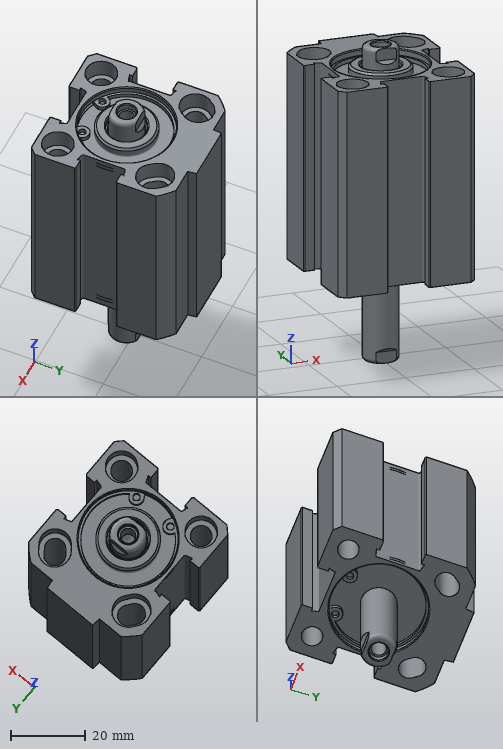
import cadquery as cq
import math

housing_length = 58.5
half_width = 20.0
back_face_y = 22.0
back_corner_x = 15.8
back_corner_y = 18.0
back_corner_radius = 27.0
front_chamfer = 1.9

pad_top_y = 24.5
pad_half_width_top = 8.0
pad_half_width_base = 8.3

slot_half_opening = 6.0
slot_mouth_chamfer = 0.3
slot_half_undercut = 6.9
slot_half_floor = 6.3
slot_lip = 3.2
slot_floor_fillet = 0.4
side_slot_floor = 14.65
front_slot_floor = 14.9

hole_pitch = 28.0
hole_diameter = 5.8
counterbore_diameter = 8.8
counterbore_depth = 5.5
slotted_hole_shift = (1.05, 1.4)

seat_diameter = 27.0
seat_rim_chamfer = 0.3
groove_diameter = 29.1
groove_offset = 1.8
ring_thickness = 1.2
ring_inner_diameter = 25.6
ring_depth = groove_offset + ring_thickness

ear_diameter = 4.13
ear_hole_diameter = 2.0
ear_center_radius = 12.0
ear_spread = 61.3
ring_turn = -1.6

cover_diameter = 26.9
cover_thickness = 8.0
boss_diameter = 17.5
boss_drop = 0.2
boss_chamfer = 0.6
boss_root_fillet = 0.4
gland_diameter = 11.4
gland_chamfer = 0.35
gland_depth = 1.5
throat_diameter = 10.48
throat_depth = 1.0

rod_diameter = 10.0
rod_overhang_top = 5.5
rod_overhang_bottom = 25.5
rod_end_fillet = 1.2
flats_width = 8.0
flats_length = 3.4
thread_mouth_diameter = 5.8
thread_relief_diameter = 5.25
thread_relief_depth = 2.0
thread_diameter = 4.13
thread_depth = 10.0
drill_tip_angle = 118.0

rod_radius = rod_diameter / 2
cover_top = housing_length - ring_depth
cover_bottom = cover_top - cover_thickness


def cylinder(diameter, bottom, top):
    return cq.Workplane("XY").workplane(offset=bottom).circle(diameter / 2).extrude(top - bottom)


def mirrored_in_housing(shape):
    """The same shape at the other end of the housing."""
    return shape.mirror("XY", (0, 0, housing_length / 2))


def slot_cutter(floor_distance, direction):
    """Undercut slot running the full length; direction is the angle of its mouth about Z."""
    lip_inner = half_width - slot_lip
    half_outline = [
        (half_width, slot_half_opening + slot_mouth_chamfer),
        (half_width - slot_mouth_chamfer, slot_half_opening),
        (lip_inner, slot_half_opening),
        (lip_inner, slot_half_undercut),
        (floor_distance, slot_half_floor),
    ]
    other_half = [(x, -y) for x, y in reversed(half_outline)]
    cutter = cq.Workplane("XY").polyline(half_outline + other_half).close().extrude(housing_length)
    cutter = cutter.faces("<X").edges("|Z").fillet(slot_floor_fillet)
    return cutter.rotate((0, 0, 0), (0, 0, 1), direction)


def mounting_hole_cutter(x, y, diameter, bottom, shift):
    """Round hole, or one stretched along shift when a shift is given."""
    hole = cylinder(diameter, bottom, housing_length)
    if shift is not None:
        length = math.hypot(*shift)
        angle = math.degrees(math.atan2(shift[1], shift[0]))
        hole = (
            cq.Workplane("XY").workplane(offset=bottom)
            .center(shift[0] / 2, shift[1] / 2)
            .slot2D(length + diameter, diameter, angle)
            .extrude(housing_length - bottom)
        )
    return hole.translate((x, y, 0))


def make_housing():
    body = (
        cq.Workplane("XY")
        .moveTo(-half_width + front_chamfer, -half_width)
        .lineTo(half_width - front_chamfer, -half_width)
        .lineTo(half_width, -half_width + front_chamfer)
        .lineTo(half_width, back_corner_y)
        .radiusArc((back_corner_x, back_face_y), -back_corner_radius)
        .lineTo(pad_half_width_base, back_face_y)
        .lineTo(pad_half_width_top, pad_top_y)
        .lineTo(-pad_half_width_top, pad_top_y)
        .lineTo(-pad_half_width_base, back_face_y)
        .lineTo(-back_corner_x, back_face_y)
        .radiusArc((-half_width, back_corner_y), -back_corner_radius)
        .lineTo(-half_width, -half_width + front_chamfer)
        .close()
        .extrude(housing_length)
    )

    for floor_distance, direction in ((side_slot_floor, 0), (side_slot_floor, 180), (front_slot_floor, 270)):
        body = body.cut(slot_cutter(floor_distance, direction))

    counterbore_bottom = housing_length - counterbore_depth
    for side in (-1, 1):
        for row in (-1, 1):
            x = side * hole_pitch / 2
            y = row * hole_pitch / 2
            shift = (-side * slotted_hole_shift[0], slotted_hole_shift[1]) if row > 0 else None
            body = body.cut(mounting_hole_cutter(x, y, hole_diameter, 0, shift))
            body = body.cut(mounting_hole_cutter(x, y, counterbore_diameter, counterbore_bottom, shift))

    body = body.cut(cylinder(rod_diameter, 0, housing_length))
    body = body.cut(cylinder(seat_diameter, cover_bottom, housing_length))

    rim = cq.Workplane(cq.Solid.makeCone(
        seat_diameter / 2, seat_diameter / 2 + seat_rim_chamfer, seat_rim_chamfer,
        cq.Vector(0, 0, housing_length - seat_rim_chamfer),
    ))
    groove = cylinder(groove_diameter, cover_top, cover_top + ring_thickness)
    end_seat = cylinder(seat_diameter, cover_top, housing_length).union(groove).union(rim)
    return body.cut(end_seat).cut(mirrored_in_housing(end_seat))


def make_retaining_ring():
    """Open ring at the top groove, with an eared end either side of its gap."""
    bottom = cover_top
    top = bottom + ring_thickness
    outer_radius = groove_diameter / 2
    disc = cylinder(groove_diameter, bottom, top)
    band = disc.cut(cylinder(ring_inner_diameter, bottom, top))

    gap_center = -90 + ring_turn
    ear_radius = ear_diameter / 2
    ear_angles = (gap_center - ear_spread / 2, gap_center + ear_spread / 2)

    reach = 2 * groove_diameter
    sector = [(0, 0)]
    for angle in ear_angles:
        sector.append((reach * math.cos(math.radians(angle)), reach * math.sin(math.radians(angle))))
    gap = cq.Workplane("XY").workplane(offset=bottom).polyline(sector).close().extrude(ring_thickness)
    ring = band.cut(gap)

    for angle in ear_angles:
        ear = (
            cq.Workplane("XY").workplane(offset=bottom)
            .center(ear_center_radius, 0).circle(ear_radius).extrude(ring_thickness)
        )
        root = (
            cq.Workplane("XY").workplane(offset=bottom)
            .moveTo(ear_center_radius, -ear_radius).lineTo(outer_radius, -ear_radius)
            .lineTo(outer_radius, ear_radius).lineTo(ear_center_radius, ear_radius)
            .close().extrude(ring_thickness)
        )
        hole = cylinder(ear_hole_diameter, bottom, top).translate((ear_center_radius, 0, 0))
        ear = ear.union(root).rotate((0, 0, 0), (0, 0, 1), angle)
        ring = ring.union(ear.intersect(disc)).cut(hole.rotate((0, 0, 0), (0, 0, 1), angle))
    return ring


def make_cover():
    boss_top = housing_length - boss_drop
    gland_bottom = boss_top - gland_depth
    throat_bottom = gland_bottom - throat_depth
    boss_radius = boss_diameter / 2
    profile = (
        cq.Workplane("XZ")
        .moveTo(rod_radius, cover_bottom)
        .lineTo(cover_diameter / 2, cover_bottom)
        .lineTo(cover_diameter / 2, cover_top)
        .lineTo(boss_radius + boss_root_fillet, cover_top)
        .radiusArc((boss_radius, cover_top + boss_root_fillet), boss_root_fillet)
        .lineTo(boss_radius, boss_top - boss_chamfer)
        .lineTo(boss_radius - boss_chamfer, boss_top)
        .lineTo(gland_diameter / 2 + gland_chamfer, boss_top)
        .lineTo(gland_diameter / 2, boss_top - gland_chamfer)
        .lineTo(gland_diameter / 2, gland_bottom)
        .lineTo(throat_diameter / 2, gland_bottom)
        .lineTo(throat_diameter / 2, throat_bottom)
        .lineTo(rod_radius, throat_bottom)
        .close()
    )
    return profile.revolve(360, (0, 0, 0), (0, 1, 0))


def rod_end_cutter(end_z):
    """Wrench flats with 45 degree run-outs and the threaded hole, cut into an upward-facing end."""
    half_flats = flats_width / 2
    flats_bottom = end_z - flats_length
    runout = rod_radius - half_flats
    flat = (
        cq.Workplane("YZ")
        .polyline([
            (half_flats, end_z),
            (half_flats, flats_bottom),
            (half_flats + runout, flats_bottom - runout),
            (rod_diameter, flats_bottom - runout),
            (rod_diameter, end_z),
        ])
        .close()
        .extrude(rod_radius, both=True)
    )
    tip = thread_diameter / 2 / math.tan(math.radians(drill_tip_angle / 2))
    mouth_chamfer = (thread_mouth_diameter - thread_relief_diameter) / 2
    relief_bottom = end_z - thread_relief_depth
    thread_bottom = end_z - thread_depth
    hole = (
        cq.Workplane("XZ")
        .polyline([
            (0, end_z),
            (thread_mouth_diameter / 2, end_z),
            (thread_relief_diameter / 2, end_z - mouth_chamfer),
            (thread_relief_diameter / 2, relief_bottom),
            (thread_diameter / 2, relief_bottom),
            (thread_diameter / 2, thread_bottom),
            (0, thread_bottom - tip),
        ])
        .close()
        .revolve(360, (0, 0, 0), (0, 1, 0))
    )
    return hole.union(flat).union(flat.mirror("XZ"))


def make_rod():
    top = housing_length + rod_overhang_top
    bottom = -rod_overhang_bottom
    rod = cylinder(rod_diameter, bottom, top).faces("<Z or >Z").edges().fillet(rod_end_fillet)
    end = rod_end_cutter(top)
    return rod.cut(end).cut(end.mirror("XY", (0, 0, (top + bottom) / 2)))


housing = make_housing()
cover = make_cover()
rod = make_rod()
top_ring = make_retaining_ring()
rings = [top_ring, mirrored_in_housing(top_ring)]

result = cq.Compound.makeCompound(
    [housing.val(), cover.val(), rod.val()] + [ring.val() for ring in rings]
)